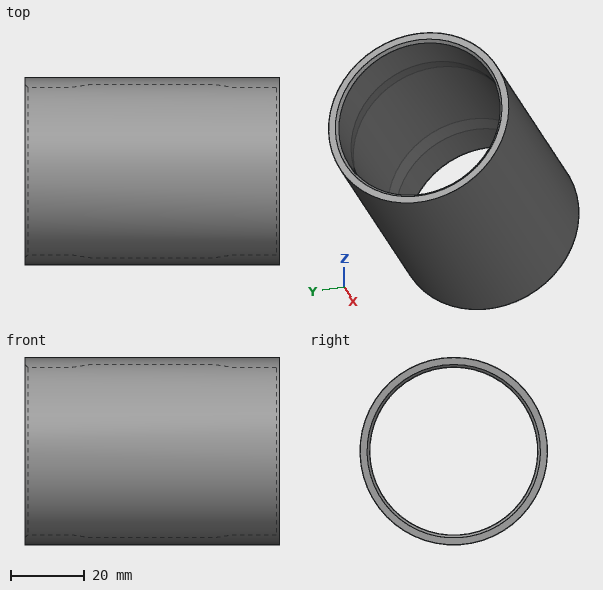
import cadquery as cq

length = 69.0
outer_diameter = 50.8
land_diameter = 45.4
relief_diameter = 46.9
mouth_chamfer_depth = 0.8
land_end_depth = 12.8
taper_length = 5.0

outer_radius = outer_diameter / 2
land_radius = land_diameter / 2
relief_radius = relief_diameter / 2
mouth_radius = relief_radius
half_length = length / 2

land_outer = half_length - mouth_chamfer_depth
land_inner = half_length - land_end_depth
relief_edge = land_inner - taper_length

section = (
    cq.Workplane("XZ")
    .moveTo(-half_length, outer_radius)
    .lineTo(half_length, outer_radius)
    .lineTo(half_length, mouth_radius)
    .lineTo(land_outer, land_radius)
    .lineTo(land_inner, land_radius)
    .lineTo(relief_edge, relief_radius)
    .lineTo(-relief_edge, relief_radius)
    .lineTo(-land_inner, land_radius)
    .lineTo(-land_outer, land_radius)
    .lineTo(-half_length, mouth_radius)
    .close()
)

result = section.revolve(360, (0, 0, 0), (1, 0, 0))